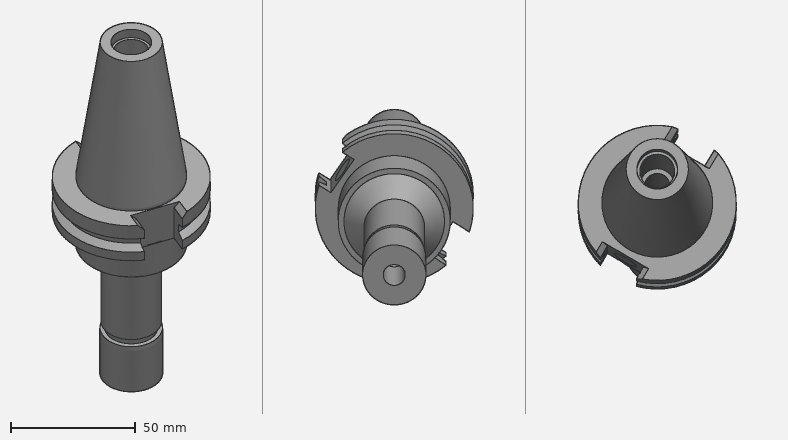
import cadquery as cq

TOTAL_HEIGHT = 169.8
NOSE_TOP = 23.1
NECK_TOP = 26.5
STEM_TOP = 58.8
BODY_BOTTOM = 67.0
FLANGE_BOTTOM = 82.7
FLANGE_TOP = 100.7
TAPER_BASE = 101.7

TAPER_SMALL_DIA = 25.0
TAPER_LARGE_DIA = 44.5
FLANGE_DIA = 63.5
GROOVE_DIA = 56.5
BODY_DIA = 45.0
CONE_TOP_DIA = 40.5
STEM_DIA = 24.5
NECK_DIA = 21.4

GROOVE_LOWER_EDGE = 87.1
GROOVE_FLOOR_BOTTOM = 89.0
GROOVE_FLOOR_TOP = 92.5
GROOVE_UPPER_EDGE = 94.0

KEYWAY_WIDTH = 16.8
KEYWAY_CHAMFER = 2.4
LEFT_KEYWAY_FLOOR = 25.0
RIGHT_KEYWAY_FLOOR = 22.8

PLUG_DIA = 10.0
PLUG_LENGTH = 5.1
PLUG_HEIGHT = 90.7

COUNTERBORE_DIA = 16.3
COUNTERBORE_DEPTH = 4.2
THREAD_BORE_DIA = 14.0
THREAD_BORE_DEPTH = 34.0
THROUGH_BORE_DIA = 10.0

NOSE_DIA = 25.5
NOSE_BORE_DIA = 8.8
RIM_HEIGHT = 2.0
RIM_TAPER = 0.2


def revolve_profile(points):
    """Revolve an outline of (diameter, z) points about the Z axis."""
    outline = [(diameter / 2, z) for diameter, z in points]
    return cq.Workplane("XZ").polyline(outline).close().revolve(360, (0, 0), (0, 1))


def bore(diameter, bottom, top):
    """Cylinder on the Z axis, used to cut a bore."""
    return cq.Workplane("XY").workplane(offset=bottom).circle(diameter / 2).extrude(top - bottom)


def make_holder_blank():
    return revolve_profile([
        (0, 0),
        (NOSE_DIA, 0),
        (NOSE_DIA, NOSE_TOP - RIM_HEIGHT),
        (NOSE_DIA - 2 * RIM_TAPER, NOSE_TOP),
        (NECK_DIA, NOSE_TOP),
        (NECK_DIA, NECK_TOP),
        (STEM_DIA, NECK_TOP),
        (STEM_DIA, STEM_TOP),
        (CONE_TOP_DIA, BODY_BOTTOM),
        (BODY_DIA, BODY_BOTTOM),
        (BODY_DIA, FLANGE_BOTTOM),
        (FLANGE_DIA, FLANGE_BOTTOM),
        (FLANGE_DIA, GROOVE_LOWER_EDGE),
        (GROOVE_DIA, GROOVE_FLOOR_BOTTOM),
        (GROOVE_DIA, GROOVE_FLOOR_TOP),
        (FLANGE_DIA, GROOVE_UPPER_EDGE),
        (FLANGE_DIA, FLANGE_TOP),
        (TAPER_LARGE_DIA, FLANGE_TOP),
        (TAPER_LARGE_DIA, TAPER_BASE),
        (TAPER_SMALL_DIA, TOTAL_HEIGHT),
        (0, TOTAL_HEIGHT),
    ])


def make_keyway(side, floor):
    """Keyway cutter on the side -1 (-X) or +1 (+X), flared at the top of the flange."""
    half_width = KEYWAY_WIDTH / 2
    half_mouth = half_width + KEYWAY_CHAMFER
    return (
        cq.Workplane("YZ", origin=(side * floor, 0, 0))
        .polyline([
            (-half_width, FLANGE_BOTTOM),
            (half_width, FLANGE_BOTTOM),
            (half_width, FLANGE_TOP - KEYWAY_CHAMFER),
            (half_mouth, FLANGE_TOP),
            (-half_mouth, FLANGE_TOP),
            (-half_width, FLANGE_TOP - KEYWAY_CHAMFER),
        ])
        .close()
        .extrude(side * FLANGE_DIA / 2)
    )


def make_plug():
    """Plug along X, whose outer face lies in the left keyway floor."""
    return (
        cq.Workplane("YZ", origin=(-LEFT_KEYWAY_FLOOR, 0, PLUG_HEIGHT))
        .circle(PLUG_DIA / 2)
        .extrude(PLUG_LENGTH)
    )


def make_holder():
    holder = make_holder_blank()
    for side, floor in [(-1, LEFT_KEYWAY_FLOOR), (1, RIGHT_KEYWAY_FLOOR)]:
        holder = holder.cut(make_keyway(side, floor))
    holder = holder.cut(make_plug())
    holder = holder.cut(bore(COUNTERBORE_DIA, TOTAL_HEIGHT - COUNTERBORE_DEPTH, TOTAL_HEIGHT))
    holder = holder.cut(bore(THREAD_BORE_DIA, TOTAL_HEIGHT - THREAD_BORE_DEPTH, TOTAL_HEIGHT))
    holder = holder.cut(bore(THROUGH_BORE_DIA, NOSE_TOP, TOTAL_HEIGHT))
    return holder.cut(bore(NOSE_BORE_DIA, 0, NOSE_TOP))


holder = make_holder()
plug = make_plug()
result = cq.Compound.makeCompound([holder.val(), plug.val()])